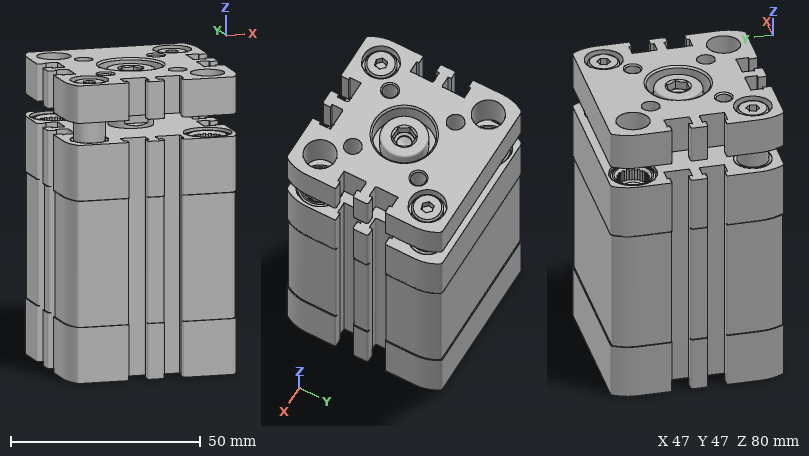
import cadquery as cq
import math

width = 47.0
total_height = 80.0
housing_height = 64.0
plate_height = 10.1
plate_bottom = total_height - plate_height
tolerance = 0.01

corner_arc_radius = 12.5
corner_arc_start = 16.5
corner_fillet = 1.0
housing_cap_height = 15.0
barrel_inset = 0.3

slot_half_width = 8.2
slot_depth = 5.8
lip_depth = 2.5
mouth_half_width = 7.4
rail_neck_half_width = 1.4
rail_head_half_width = 2.3
rail_head_fillet = 0.6
lip_fillet = 0.4
rail_root_fillet = 0.4
slot_angles = (0, 90, -90)

corner_offset = 16.2
guide_corners = [(-corner_offset, -corner_offset), (corner_offset, corner_offset)]
bolt_corners = [(-corner_offset, corner_offset), (corner_offset, -corner_offset)]
mount_offset = 9.9
dowel_points = [(-mount_offset, mount_offset), (mount_offset, -mount_offset)]
thread_points = [(-mount_offset, -mount_offset), (mount_offset, mount_offset)]

rod_insertion = housing_cap_height
guide_diameter = 8.5
guide_chamfer = 0.5
guide_top_recess = 0.6
guide_plate_recess_diameter = 10.2
guide_plate_recess_depth = 2.8
guide_collar_diameter = 10.2
guide_collar_depth = 0.2
guide_socket_flats = 3.0
guide_socket_depth = 2.0
guide_socket_turn = 15.0

piston_diameter = 12.0
piston_flats = 10.2
flat_bottom_gap = 1.2
flat_end_angle = 30.0
screw_head_diameter = 13.0
screw_head_fillet = 0.7
screw_head_top_recess = 1.0
screw_socket_flats = 5.5
screw_socket_rim_diameter = 6.9
screw_socket_depth = 2.6
screw_drill_diameter = 4.0
screw_drill_depth = 0.4

center_recess_diameter = 17.0
center_recess_chamfer = 0.52
center_recess_depth = 6.0
bolt_clearance_diameter = 9.0
dowel_diameter = 4.9
thread_diameter = 4.2
thread_chamfer = 0.4

bolt_rim_diameter = 12.8
bolt_groove_diameter = 11.9
bolt_groove_depth = 0.9
bolt_ring_outer_diameter = 10.9
bolt_ring_inner_diameter = 10.0
bolt_ring_recess = 0.6
bolt_bore_diameter = 8.2
bolt_spline_diameter = 8.6
bolt_spline_count = 18
bolt_spline_start = 45.0
bolt_spline_width = 0.7
bolt_bore_depth = 4.5
bolt_hole_diameter = 4.9
bolt_hole_chamfer = 0.5


def cylinder(x, y, bottom, top, diameter):
    return cq.Workplane().center(x, y).circle(diameter / 2).extrude(top - bottom).translate((0, 0, bottom))


def envelope(half, height):
    """Square block whose four corners are wide arcs, tangent to the X faces."""
    arc_drop = half - corner_arc_start
    arc_inset = corner_arc_radius - math.sqrt(corner_arc_radius**2 - arc_drop**2)
    corner = half - arc_inset
    block = (
        cq.Workplane()
        .moveTo(-corner, -half)
        .lineTo(corner, -half)
        .radiusArc((half, -corner_arc_start), -corner_arc_radius)
        .lineTo(half, corner_arc_start)
        .radiusArc((corner, half), -corner_arc_radius)
        .lineTo(-corner, half)
        .radiusArc((-half, corner_arc_start), -corner_arc_radius)
        .lineTo(-half, -corner_arc_start)
        .radiusArc((-corner, -half), -corner_arc_radius)
        .close()
        .extrude(height)
    )
    sharp_edges = block.edges("|Z").filter(lambda edge: abs(edge.Center().x) < corner + tolerance)
    return sharp_edges.fillet(corner_fillet)


def slot_profile(half, height):
    """T-slot on the -Y side: the channel right of the rail and its mirror image on the left."""
    floor = -width / 2 + slot_depth
    lip = -width / 2 + lip_depth
    right_half = (
        cq.Workplane()
        .polyline(
            [
                (rail_head_half_width, -half),
                (mouth_half_width, -half),
                (mouth_half_width, lip),
                (slot_half_width, lip),
                (slot_half_width, floor),
                (rail_neck_half_width, floor),
                (rail_neck_half_width, lip),
                (rail_head_half_width, lip),
            ]
        )
        .close()
        .extrude(height)
    )
    return right_half.union(right_half.mirror("YZ"))


def slotted_block(half, height):
    """One stretch of the slotted profile with rounded slot lips and rail heads."""
    block = envelope(half, height)
    for angle in slot_angles:
        block = block.cut(slot_profile(half, height).rotate((0, 0, 0), (0, 0, 1), angle))

    def slot_edges(offset, distance):
        """Slot edges this far from the middle of the slot and this far out from the Z axis."""
        def in_place(edge):
            near, far = sorted((abs(edge.Center().x), abs(edge.Center().y)))
            return abs(far - distance) < tolerance and abs(near - offset) < tolerance
        return block.edges("|Z").filter(in_place)

    block = slot_edges(mouth_half_width, half).fillet(lip_fillet)
    block = slot_edges(rail_head_half_width, half).fillet(rail_head_fillet)
    return slot_edges(rail_neck_half_width, width / 2 - slot_depth).fillet(rail_root_fillet)


def bolt_hole():
    """Grooved countersink, bore and chamfered through hole, all round the Z axis."""
    top = housing_height
    bore_floor = top - bolt_bore_depth
    hole_radius = bolt_hole_diameter / 2
    bore_radius = bolt_bore_diameter / 2
    ring_top = top - bolt_ring_recess
    ring_step = (bolt_ring_inner_diameter - bolt_bore_diameter) / 2
    return (
        cq.Workplane("XZ")
        .polyline(
            [
                (0, 0),
                (hole_radius, 0),
                (hole_radius, bore_floor - bolt_hole_chamfer),
                (hole_radius + bolt_hole_chamfer, bore_floor),
                (bore_radius, bore_floor),
                (bore_radius, ring_top - ring_step),
                (bolt_ring_inner_diameter / 2, ring_top),
                (bolt_ring_outer_diameter / 2, ring_top),
                (bolt_groove_diameter / 2, top - bolt_groove_depth),
                (bolt_rim_diameter / 2, top - bolt_groove_depth),
                (bolt_rim_diameter / 2, top),
                (0, top),
            ]
        )
        .close()
        .revolve(360, (0, 0), (0, 1))
    )


def spline_grooves():
    """Star-shaped cutter for shallow grooves along the wall of the bolt bore, round the Z axis."""
    bottom = housing_height - bolt_bore_depth
    top = housing_height - bolt_ring_recess
    strip = cq.Workplane().rect(bolt_spline_diameter, bolt_spline_width).extrude(top - bottom)
    star = cylinder(0, 0, bottom, top, bolt_bore_diameter)
    for index in range(bolt_spline_count // 2):
        angle = bolt_spline_start + index * 360 / bolt_spline_count
        star = star.union(strip.rotate((0, 0, 0), (0, 0, 1), angle).translate((0, 0, bottom)))
    return star


def make_housing():
    half = width / 2
    barrel_height = housing_height - 2 * housing_cap_height
    cap = slotted_block(half, housing_cap_height)
    barrel = slotted_block(half - barrel_inset, barrel_height)
    body = cap.union(barrel.translate((0, 0, housing_cap_height)))
    body = body.union(cap.translate((0, 0, housing_height - housing_cap_height)))
    rod_end = housing_height - rod_insertion
    body = body.cut(cylinder(0, 0, rod_end, housing_height, piston_diameter))
    for x, y in guide_corners:
        body = body.cut(cylinder(x, y, rod_end, housing_height, guide_diameter))
        collar_floor = housing_height - guide_collar_depth
        body = body.cut(cylinder(x, y, collar_floor, housing_height, guide_collar_diameter))
    for x, y in bolt_corners:
        body = body.cut(bolt_hole().translate((x, y, 0)))
        body = body.cut(spline_grooves().translate((x, y, 0)))
    return body


def hex_socket(flats, depth, top):
    corners = flats / math.cos(math.pi / 6)
    return cq.Workplane().polygon(6, corners).extrude(depth).translate((0, 0, top - depth))


def cone(bottom, top, bottom_radius, top_radius):
    return cq.Workplane().add(
        cq.Solid.makeCone(bottom_radius, top_radius, top - bottom, cq.Vector(0, 0, bottom))
    )


def make_plate():
    plate = slotted_block(width / 2, plate_height).translate((0, 0, plate_bottom))
    recess = cylinder(0, 0, total_height - center_recess_depth, total_height, center_recess_diameter)
    rim_radius = center_recess_diameter / 2
    rim = cone(total_height - center_recess_chamfer, total_height, rim_radius, rim_radius + center_recess_chamfer)
    plate = plate.cut(recess).cut(rim)
    for x, y in guide_corners:
        recess_floor = total_height - guide_plate_recess_depth
        plate = plate.cut(cylinder(x, y, recess_floor, total_height, guide_plate_recess_diameter))
    for x, y in bolt_corners:
        plate = plate.cut(cylinder(x, y, plate_bottom, total_height, bolt_clearance_diameter))
    for x, y in dowel_points:
        plate = plate.cut(cylinder(x, y, plate_bottom, total_height, dowel_diameter))
    thread_radius = thread_diameter / 2
    thread_rim = cone(total_height - thread_chamfer, total_height, thread_radius, thread_radius + thread_chamfer)
    for x, y in thread_points:
        plate = plate.cut(cylinder(x, y, plate_bottom, total_height, thread_diameter))
        plate = plate.cut(thread_rim.translate((x, y, 0)))
    return plate


def make_guide_rod():
    top = total_height - guide_top_recess
    rod = cylinder(0, 0, housing_height - rod_insertion, top, guide_diameter)
    rod = rod.faces(">Z").edges().chamfer(guide_chamfer)
    socket = hex_socket(guide_socket_flats, guide_socket_depth, top)
    return rod.cut(socket.rotate((0, 0, 0), (0, 0, 1), guide_socket_turn))


def wrench_flat():
    """Cutter for the -Y flat of the piston rod; its lower end slopes down and outward."""
    rod_radius = piston_diameter / 2
    flat_y = piston_flats / 2
    slope = (rod_radius - flat_y) * math.tan(math.radians(flat_end_angle))
    bottom = housing_height + flat_bottom_gap
    return (
        cq.Workplane("YZ")
        .polyline(
            [
                (-flat_y, bottom),
                (-rod_radius, bottom - slope),
                (-rod_radius, plate_bottom),
                (-flat_y, plate_bottom),
            ]
        )
        .close()
        .extrude(rod_radius, both=True)
    )


def make_piston_rod():
    top = total_height - screw_head_top_recess
    rod = cylinder(0, 0, housing_height - rod_insertion, plate_bottom, piston_diameter)
    flat = wrench_flat()
    rod = rod.cut(flat).cut(flat.mirror("XZ"))
    head = cylinder(0, 0, plate_bottom, top, screw_head_diameter)
    head = head.faces(">Z").edges().fillet(screw_head_fillet)
    return rod.union(head)


def screw_socket():
    """Hexagon socket with a countersunk rim and a conical floor that leads into a drilled tip."""
    top = total_height - screw_head_top_recess
    floor = top - screw_socket_depth
    hex_radius = screw_socket_flats / 2
    rim_radius = screw_socket_rim_diameter / 2
    drill_radius = screw_drill_diameter / 2
    cone_slope = 1 / math.sqrt(3)
    drill_top = floor - (hex_radius - drill_radius) * cone_slope
    drill_bottom = drill_top - screw_drill_depth
    return (
        hex_socket(screw_socket_flats, screw_socket_depth, top)
        .union(cone(top - (rim_radius - hex_radius) * cone_slope, top, hex_radius, rim_radius))
        .union(cone(drill_top, floor, drill_radius, hex_radius))
        .union(cylinder(0, 0, drill_bottom, drill_top, screw_drill_diameter))
        .union(cone(drill_bottom - drill_radius * cone_slope, drill_bottom, 0, drill_radius))
    )


def make_slide():
    """Plate, piston rod and guide rods moving together as one body."""
    slide = make_plate().union(make_piston_rod())
    for x, y in guide_corners:
        slide = slide.union(make_guide_rod().translate((x, y, 0)))
    return slide.cut(screw_socket())


housing = make_housing()
slide = make_slide()

result = cq.Compound.makeCompound([housing.val(), slide.val()])